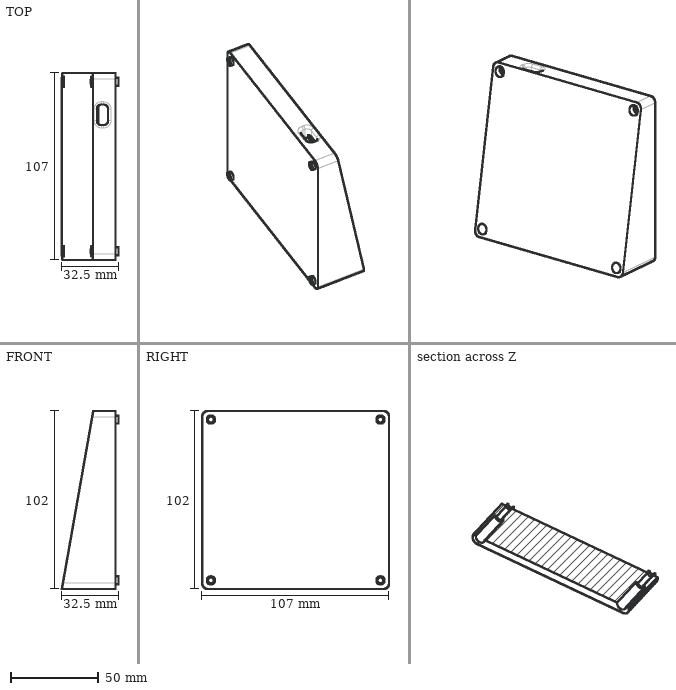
import cadquery as cq

overall_depth = 32.5
width = 107.0
height = 102.0
corner_radius = 3.4

pin_length = 1.7
wedge_depth = 18.0
back_x = overall_depth - pin_length

screw_inset = 5.0
screw_diameter = 3.4
pin_diameter = 4.7
head_diameter = 6.0
head_seat_x = 20.7

port_x = 23.3
port_y = 29.5
port_width = 6.5
port_length = 11.8
port_corner_radius = 2.7
port_lip_radius = 1.6
port_depth = 8.6
port_ledge_depth = 6.4
port_ledge_width = 1.0


def rod_along_x(diameter, start_x, end_x):
    """One cylinder along X at every screw position."""
    return (
        cq.Workplane("YZ", origin=(start_x, 0, height / 2))
        .rect(width - 2 * screw_inset, height - 2 * screw_inset, forConstruction=True)
        .vertices()
        .circle(diameter / 2)
        .extrude(end_x - start_x)
    )


def make_body():
    """Rounded block whose front face leans back from the bottom edge."""
    block = (
        cq.Workplane("XY")
        .box(back_x, width, height, centered=(False, True, False))
        .edges("|X")
        .fillet(corner_radius)
    )
    front_waste = (
        cq.Workplane("XZ")
        .polyline([(0, 0), (wedge_depth, height), (0, height)])
        .close()
        .extrude(width / 2, both=True)
    )
    return block.cut(front_waste)


def add_port(body):
    """Blind rounded opening in the top face with a rounded lip and a ledge along its front wall."""
    opening = (
        cq.Workplane("XY", origin=(port_x, port_y, height - port_depth))
        .rect(port_width, port_length)
        .extrude(port_depth)
        .edges("|Z")
        .fillet(port_corner_radius)
    )
    ledge = cq.Workplane("XY", origin=(port_x - port_width / 2, port_y, height - port_depth)).box(
        port_ledge_width, port_length, port_depth - port_ledge_depth, centered=(False, True, False)
    )
    opening = opening.cut(ledge)
    lip_half_x = port_width / 2 + port_lip_radius
    lip_half_y = port_length / 2 + port_lip_radius
    lip_zone = cq.selectors.BoxSelector(
        (port_x - lip_half_x, port_y - lip_half_y, height - port_lip_radius),
        (port_x + lip_half_x, port_y + lip_half_y, height + port_lip_radius),
    )
    return body.cut(opening).edges(lip_zone).fillet(port_lip_radius)


body = add_port(make_body())
body = body.union(rod_along_x(pin_diameter, head_seat_x, overall_depth))
body = body.cut(rod_along_x(head_diameter, 0, head_seat_x))
result = body.cut(rod_along_x(screw_diameter, 0, overall_depth))